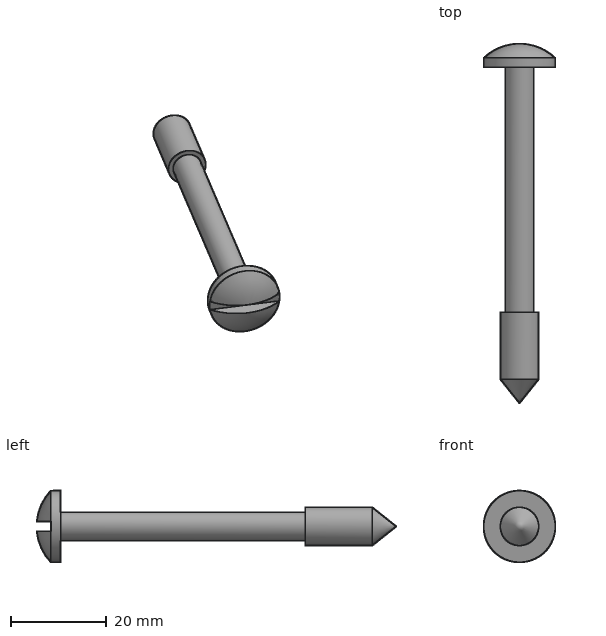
import cadquery as cq
import math


head_diameter = 15.0
rim_height = 2.0
dome_radius = 10.8
slot_width = 2.0

shank_diameter = 6.0
shank_length = 51.0

end_diameter = 8.0
end_length = 14.0
point_length = 5.0

head_radius = head_diameter / 2
dome_height = dome_radius - math.sqrt(dome_radius**2 - head_radius**2)

slot_depth = dome_height

dome_base_y = rim_height
crown_y = dome_base_y + dome_height
dome_center_y = crown_y - dome_radius
shank_end_y = -shank_length
point_base_y = shank_end_y - end_length
tip_y = point_base_y - point_length


def make_turned_body():
    """Half outline in the XY plane, revolved about the Y axis."""
    arc_mid_x = head_radius / 2
    arc_mid_y = dome_center_y + math.sqrt(dome_radius**2 - arc_mid_x**2)
    outline = (
        cq.Workplane("XY")
        .moveTo(0, tip_y)
        .lineTo(end_diameter / 2, point_base_y)
        .lineTo(end_diameter / 2, shank_end_y)
        .lineTo(shank_diameter / 2, shank_end_y)
        .lineTo(shank_diameter / 2, 0)
        .lineTo(head_radius, 0)
        .lineTo(head_radius, dome_base_y)
        .threePointArc((arc_mid_x, arc_mid_y), (0, crown_y))
        .close()
    )
    return outline.revolve(360, (0, 0, 0), (0, 1, 0))


def make_driver_slot():
    """Straight slot along X, open at both sides of the dome."""
    slot_center_y = crown_y - slot_depth / 2
    return (
        cq.Workplane("XY")
        .box(head_diameter, slot_depth, slot_width)
        .translate((0, slot_center_y, 0))
    )


result = make_turned_body().cut(make_driver_slot())